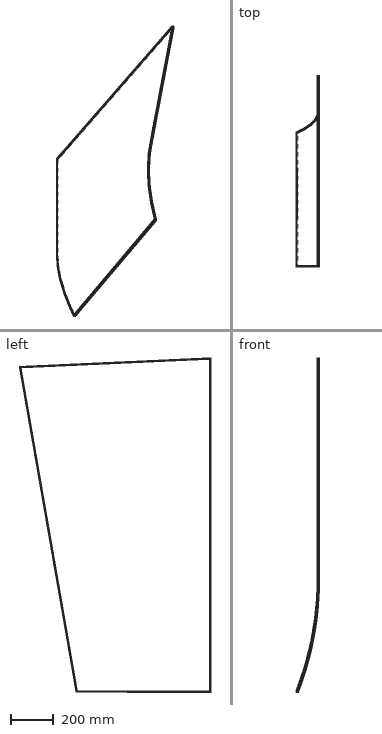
import cadquery as cq
import math

depth_x = 105.68
width_y = 893.4
height_z = 1564.98

thickness = 6.35
bend_angle = math.radians(21.5)
inner_radius = (depth_x - thickness) / (1 - math.cos(bend_angle))
outer_radius = inner_radius + thickness
bend_start_z = outer_radius * math.sin(bend_angle)

flat_steps = 20
bend_steps = 12

top_edge_drop = 40.6
bottom_edge_rise = 2.5
bottom_width = 628.0


def face_points(radius):
    """Points down one face of the sheet: straight from the top, then round the bend.

    The bend axis is parallel to Y, on the -X side of the sheet.
    """
    axis_x = -outer_radius
    flat_length = height_z - bend_start_z
    points = []
    for step in range(flat_steps):
        points.append((axis_x + radius, height_z - flat_length * step / flat_steps))
    for step in range(bend_steps + 1):
        turn = bend_angle * step / bend_steps
        points.append((axis_x + radius * math.cos(turn), bend_start_z - radius * math.sin(turn)))
    return points


def bent_sheet():
    """Sheet of even thickness, flat above and curled towards -X below, each face one smooth surface."""
    outer_face = face_points(outer_radius)
    inner_face = face_points(inner_radius)
    inner_face.reverse()
    down = (0, -1)
    up = (0, 1)
    end_down = (-math.sin(bend_angle), -math.cos(bend_angle))
    end_up = (math.sin(bend_angle), math.cos(bend_angle))
    return (
        cq.Workplane("XZ")
        .moveTo(*outer_face[0])
        .spline(outer_face[1:], tangents=[down, end_down], includeCurrent=True)
        .lineTo(*inner_face[0])
        .spline(inner_face[1:], tangents=[end_up, up], includeCurrent=True)
        .close()
        .extrude(-width_y)
    )


def panel_outline():
    """Tapered four-sided outline, as a block deeper than the sheet on both sides."""
    corners = [
        (0, 0),
        (bottom_width, bottom_edge_rise),
        (width_y, height_z - top_edge_drop),
        (0, height_z),
    ]
    return cq.Workplane("YZ").polyline(corners).close().extrude(2 * depth_x, both=True)


result = bent_sheet().intersect(panel_outline())